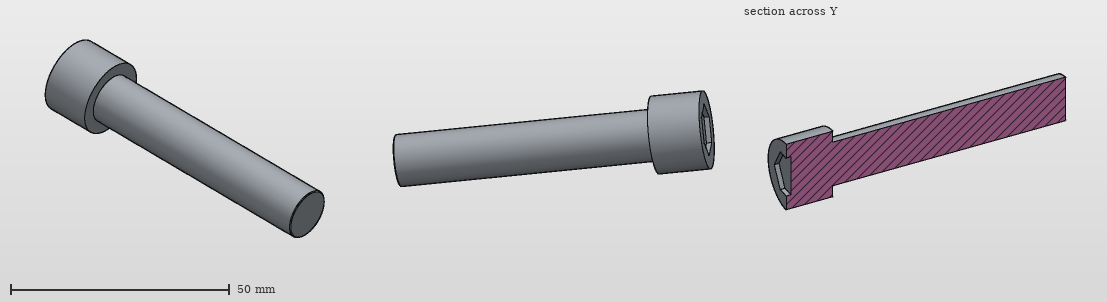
import cadquery as cq
import math

total_length = 72.0
head_diameter = 18.0
shank_diameter = 12.0
head_height = shank_diameter
socket_across_flats = 10.2
socket_depth = 1.2
tip_chamfer = 0.2


def cylinder_along_x(start_x, length, diameter):
    return cq.Workplane("YZ", origin=(start_x, 0, 0)).circle(diameter / 2).extrude(length)


head = cylinder_along_x(0, head_height, head_diameter)

shank = cylinder_along_x(head_height, total_length - head_height, shank_diameter)
shank = shank.faces(">X").edges().chamfer(tip_chamfer)

socket_across_corners = socket_across_flats / math.cos(math.radians(30))
socket = cq.Workplane("YZ").polygon(6, socket_across_corners).extrude(socket_depth)

result = head.union(shank).cut(socket)